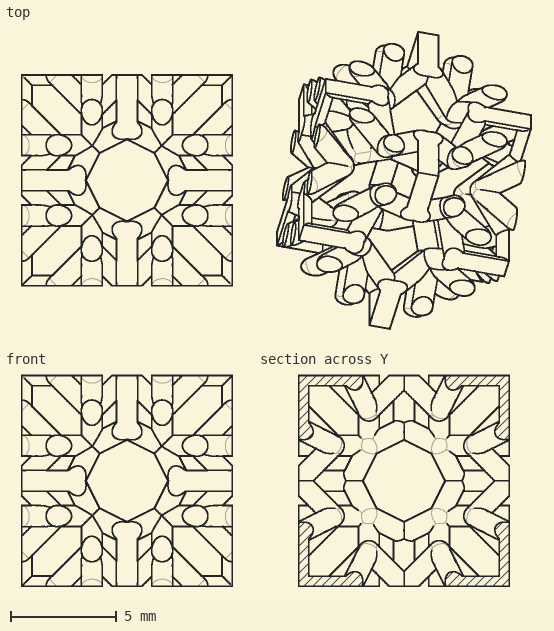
import cadquery as cq

cell_size = 10.0
strut_diameter = 1.0

half_cell = cell_size / 2
strut_radius = strut_diameter / 2

inner_offset = cell_size / 6
outer_offset = cell_size / 3
mid_offset = cell_size / 4

SIGNS = (-1, 1)


def strut(start, end):
    """Round bar between two points."""
    axis = cq.Vector(*end) - cq.Vector(*start)
    return cq.Solid.makeCylinder(strut_radius, axis.Length, cq.Vector(*start), axis)


def ball(center):
    """Ball of strut size that rounds off the bars meeting at a point."""
    return cq.Workplane("XY").sphere(strut_radius).val().moved(cq.Location(cq.Vector(*center)))


def face_bars():
    """Bars and end balls behind the +Z cell face, as a list of solids."""
    solids = []
    for side in SIGNS:
        for inner_end, edge_end in (
            ((side * mid_offset, 0, half_cell), (side * half_cell, 0, half_cell)),
            ((0, side * mid_offset, half_cell), (0, side * half_cell, half_cell)),
        ):
            solids.append(strut(inner_end, edge_end))
            solids.append(ball(inner_end))

    for sx in SIGNS:
        for sy in SIGNS:
            joint = (sx * inner_offset, sy * inner_offset, outer_offset)
            free_ends = (
                (sx * outer_offset, sy * inner_offset, half_cell),
                (sx * inner_offset, sy * outer_offset, half_cell),
            )
            shared_ends = ((sx * mid_offset, 0, half_cell), (0, sy * mid_offset, half_cell))
            solids.append(ball(joint))
            solids += [strut(joint, end) for end in free_ends + shared_ends]
            solids += [ball(end) for end in free_ends]
    return solids


def fuse(solids):
    """Join a list of shapes into one."""
    return solids[0].fuse(*solids[1:])


cell = cq.Workplane("XY").box(cell_size, cell_size, cell_size).val()
top_face = cell.intersect(fuse(face_bars()))

ORIGIN = (0, 0, 0)
faces = [top_face.rotate(ORIGIN, (1, 0, 0), angle) for angle in (0, 90, 180, 270)]
faces += [top_face.rotate(ORIGIN, (0, 1, 0), angle) for angle in (90, 270)]
result = cq.Workplane(obj=fuse(faces).clean().Solids()[0])